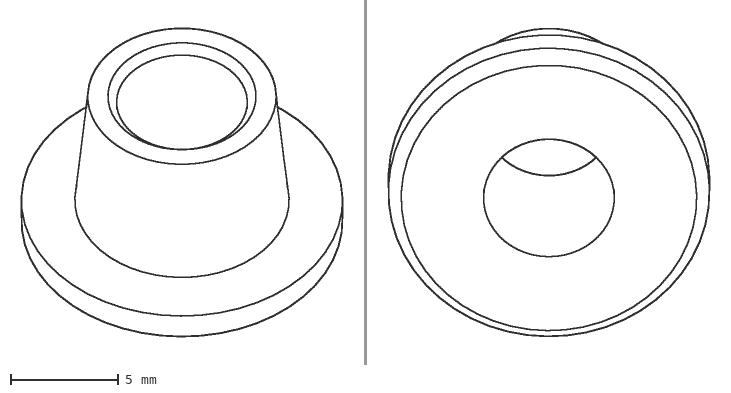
import cadquery as cq

flange_diameter = 15.0
total_height = 9.0
flange_thickness = 2.0
flange_chamfer = 0.6
neck_base_diameter = 10.0
neck_top_diameter = 8.8
bore_diameter = 6.1
bore_chamfer = 0.4

flange_radius = flange_diameter / 2
bore_radius = bore_diameter / 2

half_section = (
    cq.Workplane("XZ")
    .moveTo(bore_radius, 0)
    .lineTo(flange_radius - flange_chamfer, 0)
    .lineTo(flange_radius, flange_chamfer)
    .lineTo(flange_radius, flange_thickness)
    .lineTo(neck_base_diameter / 2, flange_thickness)
    .lineTo(neck_top_diameter / 2, total_height)
    .lineTo(bore_radius + bore_chamfer, total_height)
    .lineTo(bore_radius, total_height - bore_chamfer)
    .close()
)

result = half_section.revolve(360, (0, 0, 0), (0, 1, 0))